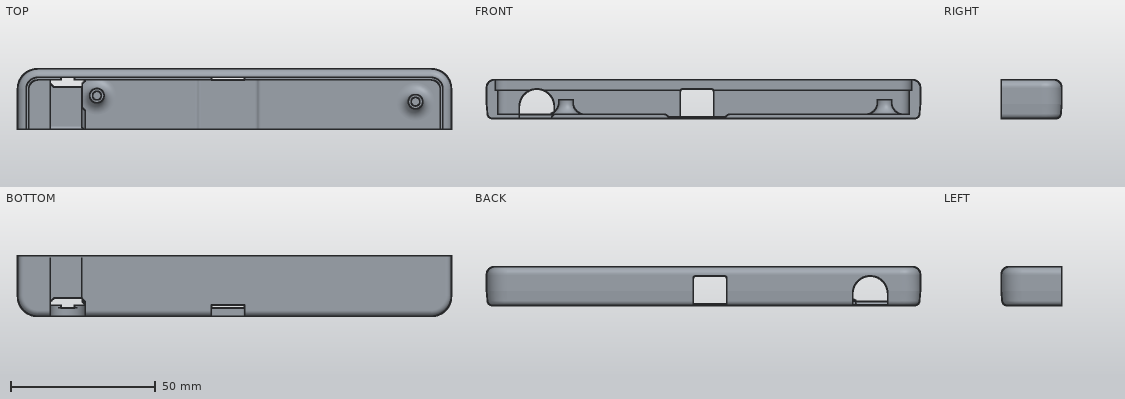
import cadquery as cq
import math

LENGTH = 150.3
DEPTH = 21.0
HEIGHT = 13.5
CORNER_RADIUS = 7.0

SHOULDER_Z = 5.1
SIDE_DRAFT = 0.5
TOP_ROUND = 2.9
BOTTOM_ROUND = 1.8

FLOOR_Z = 1.5
LEDGE_Z = 9.8
RIM_WALL = 3.0
LOWER_WALL = 3.9

STEP_CENTER_X = 72.9
STEP_HALF_WIDTH = 9.3
STEP_RUN = 2.1
STEP_FLOOR_Z = 0.6
WINDOW_WIDTH = 11.5
WINDOW_TOP_Z = 10.2
WINDOW_ROUND = 0.9

CABLE_X = 17.5
CABLE_RADIUS = 6.0
CABLE_TOP_Z = 10.2
TROUGH_Z = 0.3
TROUGH_BACK_Y = 14.7
TROUGH_SLOPE = FLOOR_Z - TROUGH_Z
FLARE_LIMIT_X = 22.4

POST_CENTERS = [(27.5, 11.7), (137.8, 9.6)]
POST_DIAMETER = 5.0
POST_HOLE_DIAMETER = 3.0
POST_TOP_Z = 6.6
FLARE_TOP_Z = 5.5
FLARE_RADIUS = FLARE_TOP_Z - FLOOR_Z

CUT_MARGIN = 1.5


def box(x0, x1, y0, y1, z0, z1):
    """Axis-aligned block between two opposite corners."""
    return cq.Workplane("XY").box(x1 - x0, y1 - y0, z1 - z0, centered=False).translate((x0, y0, z0))


def rounded_plan(inset, z):
    """Full rounded outline, symmetric about Y = 0, moved inward by inset."""
    outline = cq.Sketch().rect(LENGTH - 2 * inset, 2 * (DEPTH - inset))
    outline = outline.vertices().fillet(CORNER_RADIUS - inset)
    return cq.Workplane("XY", origin=(LENGTH / 2, 0, z)).placeSketch(outline)


def make_shell():
    upper = rounded_plan(0, SHOULDER_Z).extrude(HEIGHT - SHOULDER_Z)
    upper = upper.faces(">Z").edges().fillet(TOP_ROUND)
    draft_angle = math.degrees(math.atan2(SIDE_DRAFT, SHOULDER_Z))
    lower = rounded_plan(0, SHOULDER_Z).extrude(-SHOULDER_Z, taper=draft_angle)
    lower = lower.faces("<Z").edges().fillet(BOTTOM_ROUND)
    cavity = rounded_plan(LOWER_WALL, FLOOR_Z).extrude(HEIGHT)
    rim_opening = rounded_plan(RIM_WALL, LEDGE_Z).extrude(HEIGHT)
    back_half = box(0, LENGTH, 0, DEPTH, 0, HEIGHT)
    return upper.union(lower).cut(cavity).cut(rim_opening).intersect(back_half)


def floor_step():
    """Channel across the floor whose sides are S-shaped ramps of two tangent arcs."""
    left = STEP_CENTER_X - STEP_HALF_WIDTH
    right = STEP_CENTER_X + STEP_HALF_WIDTH
    middle_z = (FLOOR_Z + STEP_FLOOR_Z) / 2
    ramp_slope = 2 * math.atan2(FLOOR_Z - STEP_FLOOR_Z, STEP_RUN)
    ramp_radius = STEP_RUN / 2 / math.sin(ramp_slope)
    profile = (
        cq.Workplane("XZ")
        .moveTo(left - STEP_RUN, FLOOR_Z)
        .radiusArc((left - STEP_RUN / 2, middle_z), ramp_radius)
        .radiusArc((left, STEP_FLOOR_Z), -ramp_radius)
        .lineTo(right, STEP_FLOOR_Z)
        .radiusArc((right + STEP_RUN / 2, middle_z), -ramp_radius)
        .radiusArc((right + STEP_RUN, FLOOR_Z), ramp_radius)
        .close()
    )
    return profile.extrude(-(DEPTH - LOWER_WALL))


def back_window():
    window = box(
        STEP_CENTER_X - WINDOW_WIDTH / 2,
        STEP_CENTER_X + WINDOW_WIDTH / 2,
        DEPTH - LOWER_WALL,
        DEPTH + CUT_MARGIN,
        -CUT_MARGIN,
        WINDOW_TOP_Z,
    )
    return window.edges("|Y and >Z").fillet(WINDOW_ROUND)


def cable_opening():
    """Arched opening in the back wall, running down through the floor behind the trough."""
    left = CABLE_X - CABLE_RADIUS
    right = CABLE_X + CABLE_RADIUS
    spring_z = CABLE_TOP_Z - CABLE_RADIUS
    arch = (
        cq.Workplane("XZ", origin=(0, TROUGH_BACK_Y, 0))
        .moveTo(left, -CUT_MARGIN)
        .lineTo(left, spring_z)
        .threePointArc((CABLE_X, CABLE_TOP_Z), (right, spring_z))
        .lineTo(right, -CUT_MARGIN)
        .close()
        .extrude(-(DEPTH + CUT_MARGIN - TROUGH_BACK_Y))
    )
    return arch.edges("|Z and >X and <Y").chamfer(TROUGH_SLOPE)


def cable_trough():
    """Floor trough, upright on the left and sloped on the right, curved up at the front."""
    left = CABLE_X - CABLE_RADIUS
    right = CABLE_X + CABLE_RADIUS
    curve_offset = TROUGH_SLOPE * math.sqrt(0.5)
    trough = box(left, right, 0, TROUGH_BACK_Y + TROUGH_SLOPE, TROUGH_Z, FLOOR_Z)
    right_slope = (
        cq.Workplane("XZ")
        .polyline([(right, FLOOR_Z), (right, TROUGH_Z), (right - TROUGH_SLOPE, TROUGH_Z)])
        .close()
        .extrude(-DEPTH)
    )
    front_curve = (
        cq.Workplane("YZ")
        .moveTo(0, FLOOR_Z)
        .lineTo(0, TROUGH_Z)
        .lineTo(TROUGH_SLOPE, TROUGH_Z)
        .threePointArc(
            (TROUGH_SLOPE - curve_offset, FLOOR_Z - curve_offset),
            (0, FLOOR_Z),
        )
        .close()
        .extrude(LENGTH)
    )
    return trough.cut(right_slope).cut(front_curve)


def screw_post(x, y):
    """Post turned about its axis, with a concave flare that meets the floor tangentially."""
    post_radius = POST_DIAMETER / 2
    hole_radius = POST_HOLE_DIAMETER / 2
    base_radius = post_radius + FLARE_RADIUS
    arc_offset = FLARE_RADIUS * math.sqrt(0.5)
    profile = (
        cq.Workplane("XZ")
        .moveTo(hole_radius, TROUGH_Z)
        .lineTo(base_radius, TROUGH_Z)
        .lineTo(base_radius, FLOOR_Z)
        .threePointArc(
            (base_radius - arc_offset, FLARE_TOP_Z - arc_offset),
            (post_radius, FLARE_TOP_Z),
        )
        .lineTo(post_radius, POST_TOP_Z)
        .lineTo(hole_radius, POST_TOP_Z)
        .close()
    )
    return profile.revolve(360, (0, 0), (0, 1)).translate((x, y, 0))


result = make_shell()
result = result.cut(floor_step()).cut(back_window())
result = result.cut(cable_trough()).cut(cable_opening())

post_space = box(FLARE_LIMIT_X, LENGTH, 0, DEPTH - LOWER_WALL, 0, HEIGHT)
for post_x, post_y in POST_CENTERS:
    result = result.union(screw_post(post_x, post_y).intersect(post_space))